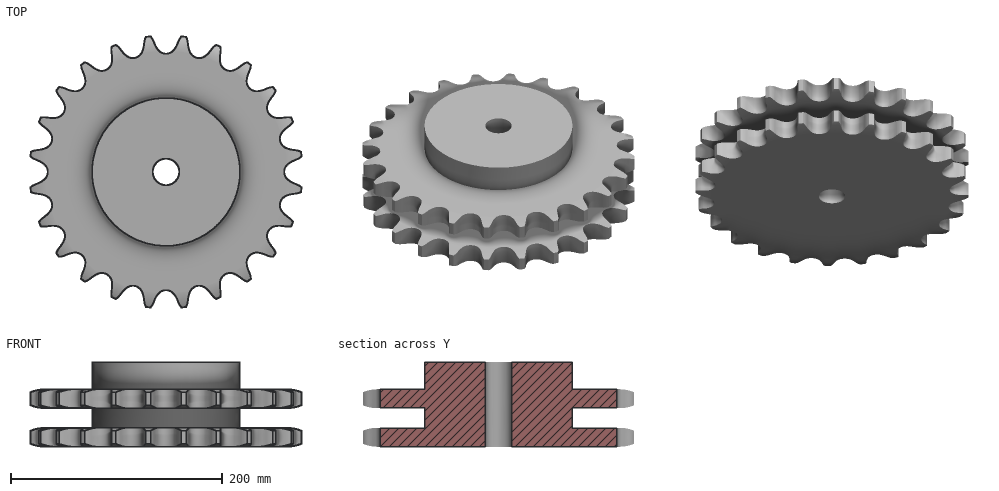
import cadquery as cq
import math

tooth_count = 24
overall_diameter = 256.8
root_diameter = 224.0
roller_diameter = 19.0
strand_thickness = 18.0
strand_spacing = 36.5
strand_count = 2
hub_diameter = 140.0
hub_height = 80.0
bore_diameter = 25.0

relief_start_radius = 114.5
relief_depth = 2.8

seat_radius = roller_diameter / 2
working_radius = 1.3 * roller_diameter
topping_radius = 0.82 * roller_diameter
straight_length = 0.13 * roller_diameter
seat_half_angle = math.radians(55 - 60 / tooth_count)
working_angle = math.radians(18 - 56 / tooth_count)

tooth_step = 2 * math.pi / tooth_count
tip_height = overall_diameter / 2


def arc_points(start, heading, radius, turn):
    """Middle and end of an arc leaving start at a heading; a positive turn is anticlockwise."""
    side = math.copysign(radius, turn)
    center_x = start[0] - side * math.sin(heading)
    center_y = start[1] + side * math.cos(heading)
    points = []
    for angle in (heading + turn / 2, heading + turn):
        points.append((center_x + side * math.sin(angle), center_y - side * math.cos(angle)))
    return points


def flank_points():
    """Points of the right flank of the gap on +Y, from the gap bottom out to the tooth tip."""
    bottom = (0, root_diameter / 2)
    seat_mid, seat_end = arc_points(bottom, 0, seat_radius, seat_half_angle)
    working_mid, working_end = arc_points(seat_end, seat_half_angle, working_radius, working_angle)
    heading = seat_half_angle + working_angle
    straight_end = (
        working_end[0] + straight_length * math.cos(heading),
        working_end[1] + straight_length * math.sin(heading),
    )
    tip_heading = math.acos(math.cos(heading) + (tip_height - straight_end[1]) / topping_radius)
    topping_mid, tip = arc_points(straight_end, heading, topping_radius, tip_heading - heading)
    return [bottom, seat_mid, seat_end, working_mid, working_end, straight_end, topping_mid, tip]


def rotated(point, angle):
    """Point turned clockwise about the sprocket axis."""
    return (
        point[0] * math.cos(angle) + point[1] * math.sin(angle),
        point[1] * math.cos(angle) - point[0] * math.sin(angle),
    )


flank = flank_points()
tip_radius = math.hypot(*flank[-1])


def toothed_plate():
    """Flat plate with the full tooth outline."""
    outline = cq.Workplane("XY").moveTo(*flank[0])
    for index in range(tooth_count):
        gap_angle = index * tooth_step
        next_angle = gap_angle + tooth_step
        rising = [rotated(p, gap_angle) for p in flank]
        falling = [rotated((-x, y), next_angle) for x, y in reversed(flank)]
        tip_middle = rotated((0, tip_radius), gap_angle + tooth_step / 2)

        outline = outline.threePointArc(rising[1], rising[2])
        outline = outline.threePointArc(rising[3], rising[4])
        outline = outline.lineTo(*rising[5])
        outline = outline.threePointArc(rising[6], rising[7])
        outline = outline.threePointArc(tip_middle, falling[0])
        outline = outline.threePointArc(falling[1], falling[2])
        outline = outline.lineTo(*falling[3])
        outline = outline.threePointArc(falling[4], falling[5])
        outline = outline.threePointArc(falling[6], falling[7])
    return outline.close().extrude(strand_thickness)


def relief_envelope():
    """Disc whose faces curve away, tangent to the flat, from the relief start to the tooth tip."""
    reach = tip_radius - relief_start_radius
    relief_radius = (reach**2 + relief_depth**2) / (2 * relief_depth)
    half_sweep = math.asin(reach / relief_radius) / 2
    mid_radius = relief_start_radius + relief_radius * math.sin(half_sweep)
    mid_depth = relief_radius * (1 - math.cos(half_sweep))
    return (
        cq.Workplane("XZ")
        .lineTo(relief_start_radius, 0)
        .threePointArc((mid_radius, mid_depth), (tip_radius, relief_depth))
        .lineTo(tip_radius, strand_thickness - relief_depth)
        .threePointArc(
            (mid_radius, strand_thickness - mid_depth),
            (relief_start_radius, strand_thickness),
        )
        .lineTo(0, strand_thickness)
        .close()
        .revolve(360, (0, 0), (0, 1))
    )


strand = toothed_plate().intersect(relief_envelope())

sprocket = cq.Workplane("XY").circle(hub_diameter / 2).extrude(hub_height)
for level in range(strand_count):
    sprocket = sprocket.union(strand.translate((0, 0, level * strand_spacing)))

bore = cq.Workplane("XY").circle(bore_diameter / 2).extrude(hub_height)
result = sprocket.cut(bore)